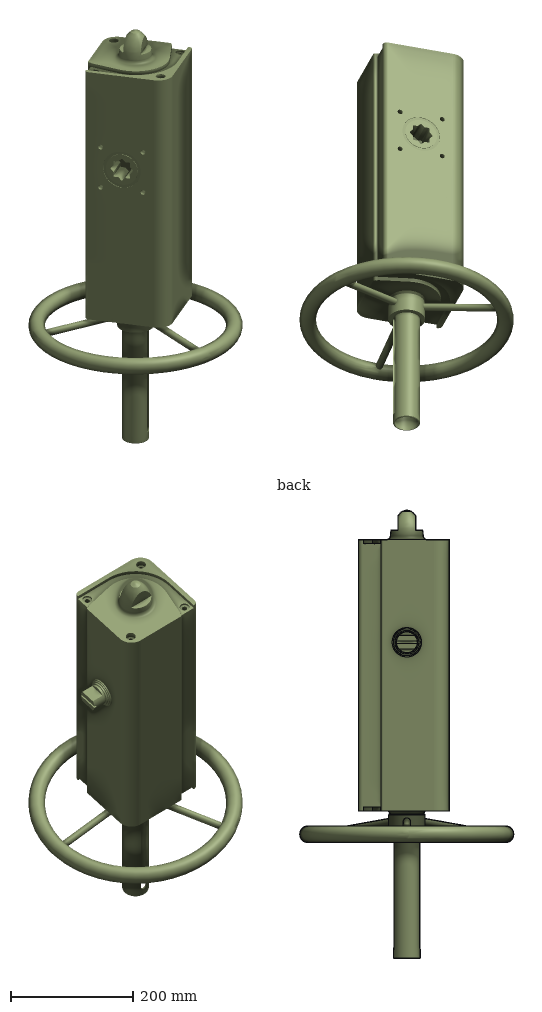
import cadquery as cq
import math


WIDE_REACH = 79.0
NEAR_REACH = 69.5
HOUSING_TOP = 167.6
HOUSING_LENGTH = 443.6
HOUSING_BOTTOM = HOUSING_TOP - HOUSING_LENGTH
LARGE_CORNER = 24.5
SMALL_CORNER = 7.0
STEP_DEPTH = 6.0
STEP_START = 42.0
STEP_CORNER = 3.5

CHANNEL_DEPTH = 6.6
CHANNEL_OUTER_RADIUS = 71.0
CHANNEL_INNER_RADIUS = 56.0

SCREW_SPACING = 113.0
SCREW_CENTRE = 4.0
SCREW_BORE = 16.0
SCREW_BORE_DEPTH = 10.0
SCREW_HOLE = 8.38
SCREW_HOLE_DEPTH = 25.0

STAR_SQUARE = 28.5
STAR_TIP_DIAMETER = 38.8
STAR_DEPTH = 40.0
RING_OUTER = 64.0
RING_INNER = 54.0
RING_DEPTH = 1.0
FLANGE_CIRCLE = 102.0
FLANGE_HOLE = 8.38
FLANGE_HOLE_DEPTH = 18.0

SKIRT_STEPS = ((48.0, 2.2), (44.0, 4.0), (39.0, 6.6))
KNOB_NECK = 34.0
KNOB_NECK_TOP = 8.8
KNOB_DIAMETER = 35.0
KNOB_REACH = 31.0
KNOB_FLANGE_TOP = 10.7
KNOB_FLATS = 22.0
KNOB_SLOT_WIDTH = 3.6
KNOB_SLOT_DEPTH = 4.5

CAP_DIAMETER = 54.0
CAP_FLARE = 6.5
CAP_HEIGHT = 48.6
CAP_TIP_HEIGHT = 46.0
CAP_TIP = 16.0
CAP_MID_RADIUS = 22.3
CAP_MID_HEIGHT = 26.5
CAP_BLADE = 29.5
CAP_SHOULDER = 15.5

BOSS_DIAMETER = 60.0
BOSS_END_DIAMETER = 54.0
BOSS_HEIGHT = 4.4

WHEEL_DIAMETER = 350.0
RIM_SECTION = 27.0
RIM_Z = -313.6
HUB_DIAMETER = 60.0
HUB_TOP = HOUSING_BOTTOM - BOSS_HEIGHT
HUB_TOP_DIAMETER = 57.14
SPOKE_DIAMETER = 12.0
SPOKE_START_Z = -288.5
SPOKE_ANGLES = (90, 210, 330)
RIM_SEAM_ANGLE = 0
RIM_RADIUS = (WHEEL_DIAMETER - RIM_SECTION) / 2

TUBE_DIAMETER = 44.0
TUBE_BORE = 39.0
TUBE_BOTTOM = -516.6
TUBE_CHAMFER = 1.0
SPINDLE_DIAMETER = 35.0
SPINDLE_END = -486.0
SLOT_WIDTH = 12.0
SLOT_END = -502.0


def cylinder(diameter, bottom, top):
    return cq.Workplane("XY").workplane(offset=bottom).circle(diameter / 2).extrude(top - bottom)


def housing_block():
    step = NEAR_REACH - STEP_DEPTH
    outline = [
        (-NEAR_REACH, NEAR_REACH),
        (STEP_START, NEAR_REACH),
        (STEP_START, step),
        (WIDE_REACH, step),
        (WIDE_REACH, -WIDE_REACH),
        (-step, -WIDE_REACH),
        (-step, -STEP_START),
        (-NEAR_REACH, -STEP_START),
    ]
    block = cq.Workplane("XY").workplane(offset=HOUSING_BOTTOM).polyline(outline).close()
    block = block.extrude(HOUSING_LENGTH)

    def round_corners(solid, radius, corners):
        for x, y in corners:
            near = cq.selectors.BoxSelector((x - 1, y - 1, -1e3), (x + 1, y + 1, 1e3))
            solid = solid.edges("|Z").edges(near).fillet(radius)
        return solid

    block = round_corners(block, LARGE_CORNER, [outline[0], outline[4]])
    block = round_corners(block, SMALL_CORNER, [outline[3], outline[5]])
    return round_corners(block, STEP_CORNER, [outline[1], outline[7]])


def channel(bottom):
    """Band between a concentric outer corner and an inner lobe tangent to lines from the steps."""
    far = 2 * WIDE_REACH
    corner = (STEP_START, NEAR_REACH)
    tilt = math.atan2(corner[1], corner[0]) - math.acos(CHANNEL_INNER_RADIUS / math.hypot(*corner))
    touch = (CHANNEL_INNER_RADIUS * math.cos(tilt), CHANNEL_INNER_RADIUS * math.sin(tilt))
    inner_middle = CHANNEL_INNER_RADIUS * math.sqrt(0.5)
    outer_middle = CHANNEL_OUTER_RADIUS * math.sqrt(0.5)
    band = (
        cq.Workplane("XY").workplane(offset=bottom)
        .moveTo(*corner)
        .lineTo(*touch)
        .threePointArc((inner_middle, -inner_middle), (-touch[1], -touch[0]))
        .lineTo(-corner[1], -corner[0])
        .lineTo(-far, -corner[0])
        .lineTo(-far, -CHANNEL_OUTER_RADIUS)
        .lineTo(0, -CHANNEL_OUTER_RADIUS)
        .threePointArc((outer_middle, -outer_middle), (CHANNEL_OUTER_RADIUS, 0))
        .lineTo(CHANNEL_OUTER_RADIUS, far)
        .lineTo(corner[0], far)
        .close()
    )
    return band.extrude(CHANNEL_DEPTH)


def screw_holes():
    pattern = (
        cq.Workplane("XY").workplane(offset=HOUSING_TOP).center(SCREW_CENTRE, -SCREW_CENTRE)
        .rect(SCREW_SPACING, SCREW_SPACING, forConstruction=True).vertices()
    )
    bores = pattern.circle(SCREW_BORE / 2).extrude(-SCREW_BORE_DEPTH)
    return bores.union(pattern.circle(SCREW_HOLE / 2).extrude(-SCREW_HOLE_DEPTH))


def drive_socket():
    face = cq.Workplane("XZ").workplane(offset=WIDE_REACH)
    square = face.rect(STAR_SQUARE, STAR_SQUARE).extrude(-STAR_DEPTH)
    star = square.union(square.rotate((0, 0, 0), (0, 1, 0), 45))
    star = star.intersect(face.circle(STAR_TIP_DIAMETER / 2).extrude(-STAR_DEPTH))
    ring = face.circle(RING_OUTER / 2).circle(RING_INNER / 2).extrude(-RING_DEPTH)
    holes = (
        face.polarArray(FLANGE_CIRCLE / 2, 45, 360, 4)
        .circle(FLANGE_HOLE / 2).extrude(-FLANGE_HOLE_DEPTH)
    )
    return star.union(ring).union(holes)


def indicator():
    base = NEAR_REACH
    face = cq.Workplane("XZ").workplane(offset=-base)
    knob = face.circle(KNOB_NECK / 2).extrude(-KNOB_NECK_TOP)
    head = face.workplane(offset=-KNOB_NECK_TOP).circle(KNOB_DIAMETER / 2)
    knob = knob.union(head.extrude(KNOB_NECK_TOP - KNOB_REACH))
    for diameter, height in SKIRT_STEPS:
        knob = knob.union(face.circle(diameter / 2).extrude(-height))
    flat_length = KNOB_REACH - KNOB_FLANGE_TOP
    flat_middle = base + KNOB_FLANGE_TOP + flat_length / 2
    trim = (
        cq.Workplane("XY").box(2 * KNOB_DIAMETER, flat_length, 2 * KNOB_DIAMETER)
        .cut(cq.Workplane("XY").box(2 * KNOB_DIAMETER, flat_length, KNOB_FLATS))
        .translate((0, flat_middle, 0))
    )
    slot = cq.Workplane("XY").box(2 * KNOB_DIAMETER, 2 * KNOB_SLOT_DEPTH, KNOB_SLOT_WIDTH)
    return knob.cut(trim).cut(slot.translate((0, base + KNOB_REACH, 0)))


def cap():
    radius = CAP_DIAMETER / 2
    flare_radius = radius + CAP_FLARE
    arc_offset = CAP_FLARE * (1 - math.sqrt(0.5))
    dome = (
        cq.Workplane("XZ")
        .lineTo(flare_radius, 0)
        .threePointArc((radius + arc_offset, arc_offset), (radius, CAP_FLARE))
        .threePointArc((CAP_MID_RADIUS, CAP_MID_HEIGHT), (CAP_TIP / 2, CAP_TIP_HEIGHT))
        .lineTo(0, CAP_HEIGHT)
        .close()
        .revolve(360, (0, 0, 0), (0, 1, 0))
    )
    blade_height = CAP_HEIGHT - CAP_SHOULDER
    trim = (
        cq.Workplane("XY").box(2 * CAP_DIAMETER, 2 * CAP_DIAMETER, blade_height)
        .cut(cq.Workplane("XY").box(CAP_BLADE, 2 * CAP_DIAMETER, blade_height))
        .translate((0, 0, CAP_SHOULDER + blade_height / 2))
    )
    return dome.cut(trim).translate((0, 0, HOUSING_TOP))


def boss():
    cone = cq.Solid.makeCone(BOSS_END_DIAMETER / 2, BOSS_DIAMETER / 2, BOSS_HEIGHT)
    return cq.Workplane(cone).translate((0, 0, HUB_TOP))


def handwheel():
    wheel = cylinder(HUB_DIAMETER, RIM_Z, HUB_TOP)
    wheel = wheel.faces(">Z").edges().chamfer((HUB_DIAMETER - HUB_TOP_DIAMETER) / 2)
    drop = RIM_Z - SPOKE_START_Z
    for angle in SPOKE_ANGLES:
        spoke = cq.Solid.makeCylinder(
            SPOKE_DIAMETER / 2,
            math.hypot(RIM_RADIUS, drop),
            cq.Vector(0, 0, SPOKE_START_Z),
            cq.Vector(RIM_RADIUS, 0, drop),
        )
        wheel = wheel.union(cq.Workplane(spoke).rotate((0, 0, 0), (0, 0, 1), angle))
    rim = cq.Workplane(cq.Solid.makeTorus(RIM_RADIUS, RIM_SECTION / 2))
    rim = rim.rotate((0, 0, 0), (0, 0, 1), RIM_SEAM_ANGLE).translate((0, 0, RIM_Z))
    wheel = wheel.union(rim)

    tube = cylinder(TUBE_DIAMETER, TUBE_BOTTOM, RIM_Z).faces("<Z").edges().chamfer(TUBE_CHAMFER)
    tube = tube.cut(cylinder(TUBE_BORE, TUBE_BOTTOM, RIM_Z))
    slot_end_centre = SLOT_END + SLOT_WIDTH / 2
    slot = (
        cq.Workplane("YZ").center(0, (slot_end_centre + RIM_Z) / 2)
        .rect(SLOT_WIDTH, RIM_Z - slot_end_centre)
        .extrude(TUBE_DIAMETER, both=True)
    )
    slot_end = cq.Workplane("YZ").center(0, slot_end_centre).circle(SLOT_WIDTH / 2)
    tube = tube.cut(slot).cut(slot_end.extrude(TUBE_DIAMETER, both=True))
    spindle = cylinder(SPINDLE_DIAMETER, SPINDLE_END, RIM_Z)
    return wheel.union(tube).union(spindle)


housing = housing_block()
housing = housing.cut(channel(HOUSING_TOP - CHANNEL_DEPTH)).cut(channel(HOUSING_BOTTOM))
housing = housing.cut(screw_holes()).cut(drive_socket())
housing = housing.union(indicator()).union(cap()).union(boss())

result = cq.Compound.makeCompound([housing.val(), handwheel().val()])